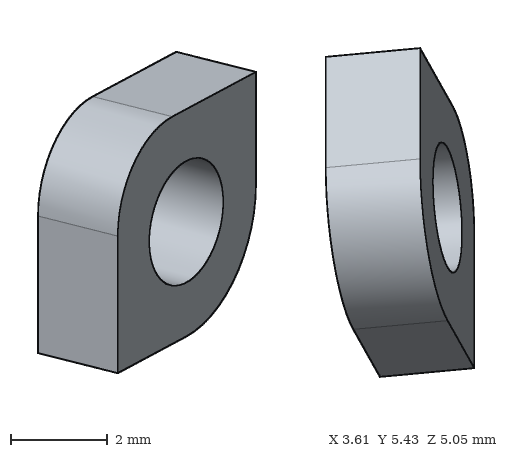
import cadquery as cq

side = 5.05
thickness = 2.0
hole_diameter = 2.7
upper_radius = 2.0
lower_radius = 2.55
turn_angle = 20.0

hole_y = side / 2 - lower_radius
hole_z = lower_radius - side / 2


def square_plate():
    """Plate standing upright, thickness along X, centred on the origin."""
    return cq.Workplane("XY").box(thickness, side, side)


def round_opposite_corners(plate):
    """Round two diagonally opposite corners, leaving the other two sharp."""
    plate = plate.edges("|X").edges(">Z and <Y").fillet(upper_radius)
    return plate.edges("|X").edges("<Z and >Y").fillet(lower_radius)


def through_hole():
    """Cylinder along X that passes right through the plate."""
    return (
        cq.Workplane("YZ")
        .center(hole_y, hole_z)
        .circle(hole_diameter / 2)
        .extrude(thickness, both=True)
    )


upright_plate = round_opposite_corners(square_plate()).cut(through_hole())
result = upright_plate.rotate((0, 0, 0), (0, 0, 1), turn_angle)